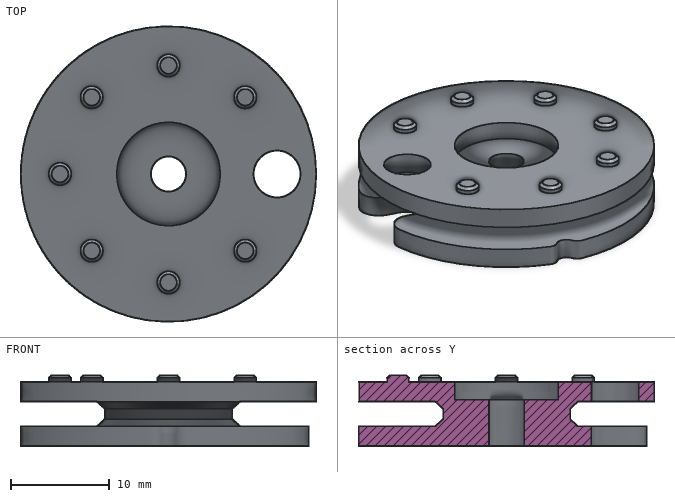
import cadquery as cq
import math

overall_height = 7.2
flange_radius = 15.0
flange_thickness = 2.0
flange_gap = 2.5
neck_radius = 6.48
flare_radius = 7.25
flare_height = 0.72
upper_flange_bottom = flange_thickness + flange_gap
upper_flange_top = upper_flange_bottom + flange_thickness

bore_radius = 1.77
recess_radius = 5.25
recess_depth = 1.8

station_count = 8
station_radius = 11.0
access_radius = 2.37
pin_radius = 1.15
pin_height = overall_height - upper_flange_top
pin_chamfer = 0.3

slot_corner_radius = 2.0
notch_radius = 1.0
notch_angles = (90, 270)


def make_spool():
    """Revolve the flanges and the flared neck as one solid."""
    profile = [
        (0, 0),
        (flange_radius, 0),
        (flange_radius, flange_thickness),
        (flare_radius, flange_thickness),
        (neck_radius, flange_thickness + flare_height),
        (neck_radius, upper_flange_bottom - flare_height),
        (flare_radius, upper_flange_bottom),
        (flange_radius, upper_flange_bottom),
        (flange_radius, upper_flange_top),
        (0, upper_flange_top),
    ]
    return cq.Workplane("XZ").polyline(profile).close().revolve(360, (0, 0, 0), (0, 1, 0))


def make_pin(angle):
    """Chamfered pin standing on the upper flange."""
    x = station_radius * math.cos(math.radians(angle))
    y = station_radius * math.sin(math.radians(angle))
    pin = cq.Workplane("XY").circle(pin_radius).extrude(pin_height)
    return pin.faces(">Z").chamfer(pin_chamfer).translate((x, y, upper_flange_top))


def make_access_slot():
    """Slot in the lower flange, opening to the rim with rounded corners."""
    corner_y = access_radius + slot_corner_radius
    corner_x = math.sqrt((flange_radius - slot_corner_radius) ** 2 - corner_y ** 2)
    corner_angle = math.atan2(corner_y, corner_x)
    rim_x = flange_radius * math.cos(corner_angle)
    rim_y = flange_radius * math.sin(corner_angle)
    middle_angle = (corner_angle - math.pi / 2) / 2
    middle_x = corner_x + slot_corner_radius * math.cos(middle_angle)
    middle_y = corner_y + slot_corner_radius * math.sin(middle_angle)
    return (
        cq.Workplane("XY")
        .moveTo(station_radius, access_radius)
        .lineTo(corner_x, access_radius)
        .threePointArc((middle_x, middle_y), (rim_x, rim_y))
        .threePointArc((flange_radius, 0), (rim_x, -rim_y))
        .threePointArc((middle_x, -middle_y), (corner_x, -access_radius))
        .lineTo(station_radius, -access_radius)
        .threePointArc((station_radius - access_radius, 0), (station_radius, access_radius))
        .close()
        .extrude(flange_thickness)
    )


def make_rim_notch(angle):
    """Round notch centred on the rim, with equally rounded corners."""
    center_distance = flange_radius - notch_radius
    corner_x = (center_distance ** 2 + flange_radius ** 2 - (2 * notch_radius) ** 2) / (2 * flange_radius)
    corner_y = math.sqrt(center_distance ** 2 - corner_x ** 2)
    corner_angle = math.atan2(corner_y, corner_x)
    rim_x = flange_radius * math.cos(corner_angle)
    rim_y = flange_radius * math.sin(corner_angle)
    joint_x = (corner_x + flange_radius) / 2
    joint_y = corner_y / 2
    joint_angle = math.atan2(joint_y - corner_y, joint_x - corner_x)
    middle_angle = (corner_angle + joint_angle) / 2
    middle_x = corner_x + notch_radius * math.cos(middle_angle)
    middle_y = corner_y + notch_radius * math.sin(middle_angle)
    notch = (
        cq.Workplane("XY")
        .moveTo(rim_x, rim_y)
        .threePointArc((middle_x, middle_y), (joint_x, joint_y))
        .threePointArc((flange_radius - notch_radius, 0), (joint_x, -joint_y))
        .threePointArc((middle_x, -middle_y), (rim_x, -rim_y))
        .threePointArc((flange_radius, 0), (rim_x, rim_y))
        .close()
        .extrude(flange_thickness)
    )
    return notch.rotate((0, 0, 0), (0, 0, 1), angle)


result = make_spool()

result = result.cut(cq.Workplane("XY").circle(bore_radius).extrude(upper_flange_top))
recess_floor = upper_flange_top - recess_depth
result = result.cut(
    cq.Workplane("XY").workplane(offset=recess_floor).circle(recess_radius).extrude(recess_depth)
)

result = result.cut(
    cq.Workplane("XY")
    .workplane(offset=upper_flange_bottom)
    .center(station_radius, 0)
    .circle(access_radius)
    .extrude(flange_thickness)
)
result = result.cut(make_access_slot())

for notch_angle in notch_angles:
    result = result.cut(make_rim_notch(notch_angle))

for station in range(1, station_count):
    result = result.union(make_pin(station * 360 / station_count))